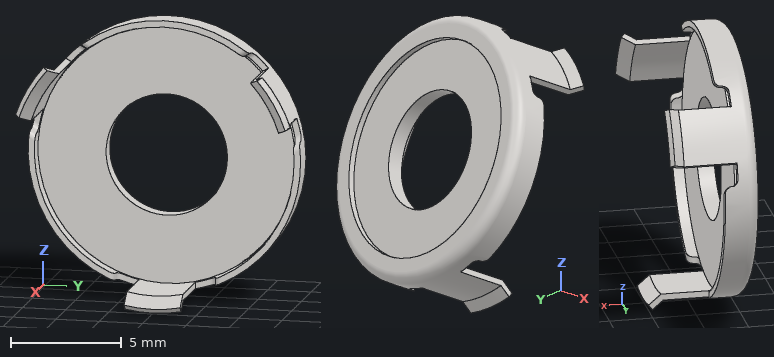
import cadquery as cq
import math


cap_diameter = 12.6
wall = 0.3
rim_x = 1.6
front_fillet = 0.5
lip_opening_diameter = 10.3
cap_radius = cap_diameter / 2
bore_radius = cap_radius - wall

washer_diameter = 11.9
washer_hole_diameter = 5.6
washer_thickness = 0.8

total_length = 4.13
total_height = 13.02
tab_angles = [0, 120, 240]
tab_width = 2.6
tab_gap = 1.0
flare_angle = math.radians(40)
notch_fillet = wall
notch_width = tab_width + 2 * tab_gap
notch_floor_x = rim_x - 2 * notch_fillet

tip_outer_radius = total_height - cap_radius
tip_inner_radius = tip_outer_radius - wall * math.cos(flare_angle)
tip_outer_x = total_length - wall * math.sin(flare_angle)
inner_bend_x = total_length - (tip_inner_radius - bore_radius) / math.tan(flare_angle)
outer_bend_x = inner_bend_x - wall * math.tan(flare_angle / 2)


def make_flared_cup():
    """Cup with a front lip, whose wall runs all the way round into the flared tab section."""
    lip_radius = lip_opening_diameter / 2
    return (
        cq.Workplane("XY")
        .moveTo(0, lip_radius)
        .lineTo(wall, lip_radius)
        .lineTo(wall, bore_radius)
        .lineTo(inner_bend_x, bore_radius)
        .lineTo(total_length, tip_inner_radius)
        .lineTo(tip_outer_x, tip_outer_radius)
        .lineTo(outer_bend_x, cap_radius)
        .lineTo(front_fillet, cap_radius)
        .radiusArc((0, cap_radius - front_fillet), -front_fillet)
        .close()
        .revolve(360, (0, 0, 0), (1, 0, 0))
    )


def make_notch():
    """Cutter through the lower wall, with S-shaped ends made of two equal arcs."""
    half = notch_width / 2
    r = notch_fillet
    middle_x = notch_floor_x + r
    return (
        cq.Workplane("XY")
        .moveTo(notch_floor_x, half - r)
        .radiusArc((middle_x, half), r)
        .radiusArc((rim_x, half + r), -r)
        .lineTo(rim_x, -half - r)
        .radiusArc((middle_x, -half), -r)
        .radiusArc((notch_floor_x, -half + r), r)
        .close()
        .extrude(-total_height)
    )


def make_tab_slice():
    """Parallel-sided block, pointing to -Z, that covers one tab."""
    tab_slice = cq.Workplane("XY").box(
        total_length, tab_width, total_height, centered=(False, True, False)
    )
    return tab_slice.translate((0, 0, -total_height))


def make_cap():
    """Flared cup cut back to the rim and the notches, except where the tabs stand."""
    waste = cq.Workplane("YZ", origin=(rim_x, 0, 0)).circle(total_height).extrude(total_length)
    notch = make_notch()
    tab_slice = make_tab_slice()
    for angle in tab_angles:
        waste = waste.union(notch.rotate((0, 0, 0), (1, 0, 0), angle))
    for angle in tab_angles:
        waste = waste.cut(tab_slice.rotate((0, 0, 0), (1, 0, 0), angle))
    return make_flared_cup().cut(waste)


def make_washer():
    """Flat washer seated against the back of the lip."""
    return (
        cq.Workplane("YZ", origin=(wall, 0, 0))
        .circle(washer_diameter / 2)
        .circle(washer_hole_diameter / 2)
        .extrude(washer_thickness)
    )


cap = make_cap()
washer = make_washer()
result = cq.Compound.makeCompound([cap.val(), washer.val()])